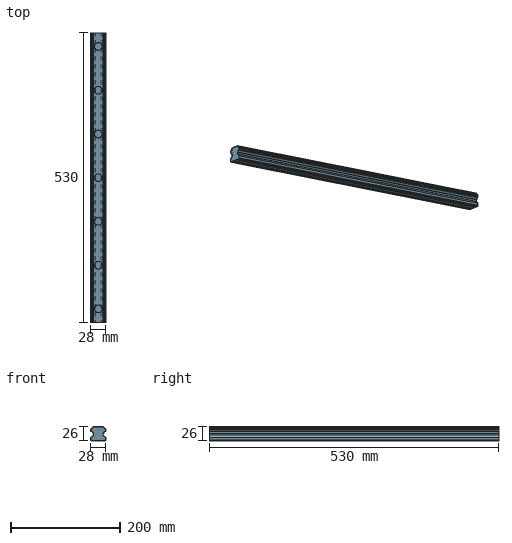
import cadquery as cq
import math

rail_width = 28.0
rail_length = 530.0
rail_height = 26.0
half_width = rail_width / 2

top_half_width = 9.0
upper_groove_top = (10.1, 24.7)
upper_groove_bottom = (11.8, 22.6)
upper_groove_depth = 0.4
bevel_top = (12.4, 21.8)
head_side_top = 20.4

head_side_bottom = 18.3
lower_groove_top = (12.4, 17.0)
lower_groove_bottom = (10.1, 13.7)
lower_groove_depth = 0.9

waist_half_width = 8.9
waist_top = 13.5
waist_bottom = 10.2
base_side_top = 5.6
bottom_chamfer = 1.4

slot_inner_x = 4.8
slot_outer_x = 8.0
slot_depth = 0.3

recess_diameter = 14.0
recess_depth = 0.2
recess_pitch = 80.0
recess_count = 7


def groove_middle(start, end, depth):
    """Deepest point of a groove arc, to the left of the chord from start to end."""
    run = end[0] - start[0]
    rise = end[1] - start[1]
    chord = math.hypot(run, rise)
    middle_x = (start[0] + end[0]) / 2 - depth * rise / chord
    middle_z = (start[1] + end[1]) / 2 + depth * run / chord
    return (middle_x, middle_z)


def half_rail():
    """Half of the rail on the +X side, drawn from the underside up to the top."""
    lower_middle = groove_middle(lower_groove_bottom, lower_groove_top, lower_groove_depth)
    upper_middle = groove_middle(upper_groove_bottom, upper_groove_top, upper_groove_depth)
    return (
        cq.Workplane("XZ")
        .moveTo(0, 0)
        .lineTo(slot_inner_x, 0)
        .lineTo(slot_inner_x, slot_depth)
        .lineTo(slot_outer_x, slot_depth)
        .lineTo(slot_outer_x, 0)
        .lineTo(half_width - bottom_chamfer, 0)
        .lineTo(half_width, bottom_chamfer)
        .lineTo(half_width, base_side_top)
        .lineTo(waist_half_width, waist_bottom)
        .lineTo(waist_half_width, waist_top)
        .lineTo(*lower_groove_bottom)
        .threePointArc(lower_middle, lower_groove_top)
        .lineTo(half_width, head_side_bottom)
        .lineTo(half_width, head_side_top)
        .lineTo(*bevel_top)
        .lineTo(*upper_groove_bottom)
        .threePointArc(upper_middle, upper_groove_top)
        .lineTo(top_half_width, rail_height)
        .lineTo(0, rail_height)
        .close()
        .extrude(rail_length / 2, both=True)
    )


def screw_recesses():
    """Row of shallow round recesses, evenly spaced about the middle of the rail."""
    return (
        cq.Workplane("XY", origin=(0, 0, rail_height))
        .rarray(1, recess_pitch, 1, recess_count)
        .circle(recess_diameter / 2)
        .extrude(-recess_depth)
    )


right_half = half_rail()
rail = right_half.union(right_half.mirror("YZ"))
result = rail.cut(screw_recesses())